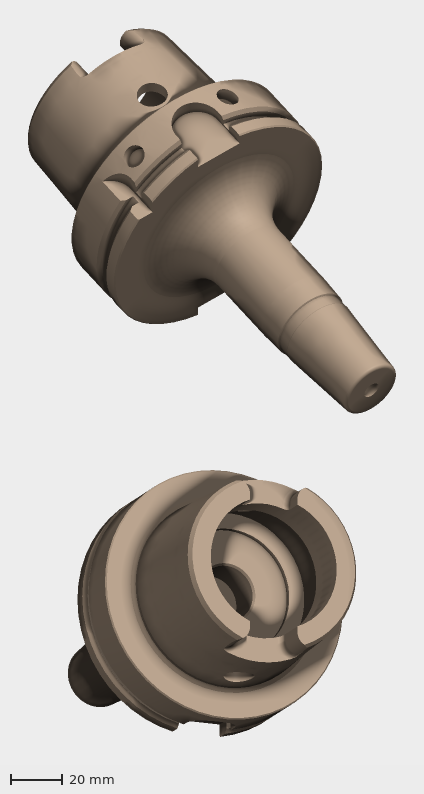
import cadquery as cq
import math

total_length = 180.0
shank_length = 50.0
flange_end = 79.0

nose_face_radius = 34.2
nose_radius = 35.5
nose_chamfer_length = 1.8
shank_large_radius = 37.71
undercut_start = 47.3
undercut_end = 49.1
undercut_radius = 37.0
collar_radius = 39.5

flange_radius = 50.0
flange_chamfer = 0.5
groove_radius = 46.0
groove_start = 68.2
groove_end = 72.0
groove_mouth_depth = 1.6
groove_rear_chamfer = 1.0
groove_front_chamfer = 1.6

neck_radius = 16.0
neck_fillet = 20.0
tip_taper_start = 129.6
tip_band_start = 139.7
tip_band_end = 145.3
tip_band_step = 0.4
tip_band_radius = 15.0
tip_front_angle = 4.5
tip_rear_radius = 15.57
tip_radius = 12.33
tip_fillet = 1.5

mouth_radius = 26.5
mouth_depth = 20.7
clamp_radius = 31.5
clamp_cone_angle = 60.0
clamp_end = 45.0
floor_bore_radius = 25.2
floor_bore_end = 47.5
thread_radius = 11.2
thread_chamfer = 0.81
thread_end = 64.8
through_radius = 3.5
through_cone_radius = 6.03
through_cone_angle = 30.0

drive_slot_width = 20.0
drive_slot_depth_top = 10.0
drive_slot_depth_bottom = 15.0
drive_slot_ledge = 32.2
drive_slot_round = 5.4
drive_slot_end_fillet = 2.0

cross_hole_diameter = 12.0
cross_hole_x = 35.1

keyway_width = drive_slot_width
keyway_center_x = 64.8
keyway_floor = 44.0
notch_wall = 31.9

flange_hole_diameter = 9.0
flange_hole_depth = 5.0
flange_hole_x = 59.2
flange_hole_angles = (-22.0, 31.7)


def outer_body():
    """Solid of revolution with every outer diameter, before any cuts."""
    groove_mouth_radius = flange_radius - groove_mouth_depth
    neck_start = flange_end + neck_fillet
    fillet_middle = neck_fillet * math.sqrt(0.5)
    front_taper_drop = (total_length - tip_band_end) * math.tan(math.radians(tip_front_angle))
    profile = (
        cq.Workplane("XY")
        .moveTo(0, 0)
        .lineTo(0, nose_face_radius)
        .lineTo(nose_chamfer_length, nose_radius)
        .lineTo(undercut_start, shank_large_radius)
        .lineTo(undercut_start, undercut_radius)
        .lineTo(undercut_end, shank_large_radius)
        .lineTo(shank_length, collar_radius)
        .lineTo(shank_length, flange_radius - flange_chamfer)
        .lineTo(shank_length + flange_chamfer, flange_radius)
        .lineTo(groove_start - groove_rear_chamfer, flange_radius)
        .lineTo(groove_start, groove_mouth_radius)
        .lineTo(groove_start, groove_radius)
        .lineTo(groove_end, groove_radius)
        .lineTo(groove_end, groove_mouth_radius)
        .lineTo(groove_end + groove_front_chamfer, flange_radius)
        .lineTo(flange_end - flange_chamfer, flange_radius)
        .lineTo(flange_end, flange_radius - flange_chamfer)
        .lineTo(flange_end, neck_radius + neck_fillet)
        .threePointArc(
            (neck_start - fillet_middle, neck_radius + neck_fillet - fillet_middle),
            (neck_start, neck_radius),
        )
        .lineTo(tip_taper_start, neck_radius)
        .lineTo(tip_band_start, tip_rear_radius)
        .lineTo(tip_band_start + tip_band_step, tip_band_radius)
        .lineTo(tip_band_end - tip_band_step, tip_band_radius)
        .lineTo(tip_band_end, tip_radius + front_taper_drop)
        .lineTo(total_length, tip_radius)
        .lineTo(total_length, 0)
        .close()
    )
    body = profile.revolve(360, (0, 0, 0), (1, 0, 0))
    return body.faces(">X").edges().fillet(tip_fillet)


def cavity():
    """Stepped bore: clamping recess, floor bore, thread bore and narrow through hole."""
    clamp_start = mouth_depth + (clamp_radius - mouth_radius) / math.tan(math.radians(clamp_cone_angle))
    cone_length = (through_cone_radius - through_radius) / math.tan(math.radians(through_cone_angle))
    profile = (
        cq.Workplane("XY")
        .moveTo(0, 0)
        .lineTo(0, mouth_radius)
        .lineTo(mouth_depth, mouth_radius)
        .lineTo(clamp_start, clamp_radius)
        .lineTo(clamp_end, clamp_radius)
        .lineTo(clamp_end, floor_bore_radius)
        .lineTo(floor_bore_end, floor_bore_radius)
        .lineTo(floor_bore_end, thread_radius + thread_chamfer)
        .lineTo(floor_bore_end + thread_chamfer, thread_radius)
        .lineTo(thread_end, thread_radius)
        .lineTo(thread_end, through_cone_radius)
        .lineTo(thread_end + cone_length, through_radius)
        .lineTo(total_length, through_radius)
        .lineTo(total_length, 0)
        .close()
    )
    return profile.revolve(360, (0, 0, 0), (1, 0, 0))


def drive_slot(depth):
    """Slot through the upper nose wall, flaring outward over rounded shoulders."""
    half = drive_slot_width / 2
    shoulder = half + drive_slot_round
    mid = drive_slot_round * (1 - math.sqrt(0.5))
    low = drive_slot_ledge - drive_slot_round
    top = flange_radius
    profile = (
        cq.Workplane("YZ")
        .moveTo(-half, 0)
        .lineTo(-half, low)
        .threePointArc((-half - mid, drive_slot_ledge - mid), (-shoulder, drive_slot_ledge))
        .lineTo(-shoulder, top)
        .lineTo(shoulder, top)
        .lineTo(shoulder, drive_slot_ledge)
        .threePointArc((half + mid, drive_slot_ledge - mid), (half, low))
        .lineTo(half, 0)
        .close()
    )
    slot = profile.extrude(depth)
    return slot.faces(">X").edges("not |Y").fillet(drive_slot_end_fillet)


def flange_slot(center_y, floor):
    """Round-ended slot with a flat floor, open through the front of the flange."""
    open_length = flange_end - keyway_center_x
    height = flange_radius - floor
    plane = cq.Workplane("XY", origin=(keyway_center_x, center_y, floor))
    round_end = plane.circle(keyway_width / 2).extrude(height)
    channel = plane.center(open_length / 2, 0).rect(open_length, keyway_width).extrude(height)
    return round_end.union(channel)


def flange_hole(angle):
    """Blind radial hole, tilted about the X axis from +Z."""
    hole = (
        cq.Workplane("XY", origin=(flange_hole_x, 0, flange_radius - flange_hole_depth))
        .circle(flange_hole_diameter / 2)
        .extrude(2 * flange_hole_depth)
    )
    return hole.rotate((0, 0, 0), (1, 0, 0), angle)


def half_turn(solid):
    return solid.rotate((0, 0, 0), (1, 0, 0), 180)


def cross_hole():
    hole = cq.Workplane("XY", origin=(cross_hole_x, 0, -flange_radius)).circle(cross_hole_diameter / 2)
    return hole.extrude(2 * flange_radius)


keyway = flange_slot(0, keyway_floor)
notch = flange_slot(-notch_wall - keyway_width / 2, notch_wall)
cutters = [
    cavity(),
    drive_slot(drive_slot_depth_top),
    half_turn(drive_slot(drive_slot_depth_bottom)),
    cross_hole(),
    keyway,
    half_turn(keyway),
    notch,
]
cutters += [flange_hole(angle) for angle in flange_hole_angles]

result = outer_body()
for cutter in cutters:
    result = result.cut(cutter)